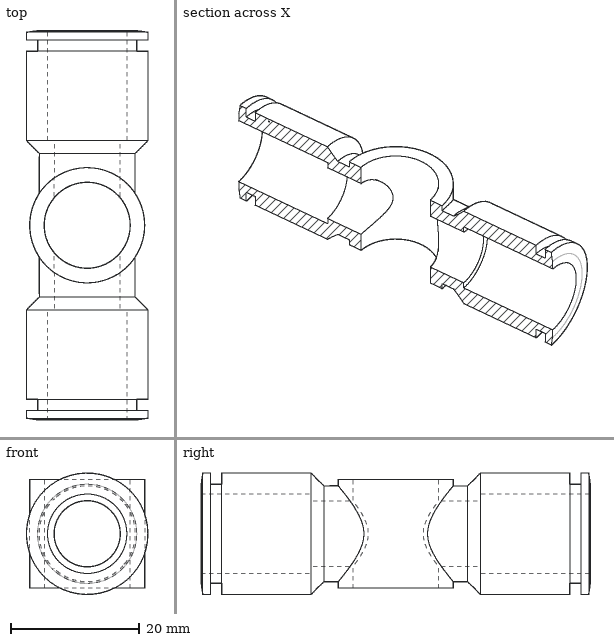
import cadquery as cq

overall_length = 60.8
half_length = overall_length / 2
body_radius = 9.5
neck_radius = 7.5

end_face_radius = 7.75
end_cone_length = 0.25
collar_length = 1.5
groove_radius = 7.75
groove_width = 1.7
body_length = 14.0
shoulder_length = body_radius - neck_radius

socket_radius = 6.2
passage_radius = 5.15

ring_radius = 9.0
ring_bore_radius = 6.7
ring_height = 17.0

cone_y = half_length - end_cone_length
collar_y = half_length - collar_length
body_outer_y = collar_y - groove_width
body_inner_y = body_outer_y - body_length
shoulder_y = body_inner_y - shoulder_length
socket_depth = half_length - body_inner_y


def solid_arm():
    """Turned arm on the +Y side, reaching from the centre to the end face."""
    return (
        cq.Workplane("XY")
        .polyline([
            (0, 0),
            (neck_radius, 0),
            (neck_radius, shoulder_y),
            (body_radius, body_inner_y),
            (body_radius, body_outer_y),
            (groove_radius, body_outer_y),
            (groove_radius, collar_y),
            (body_radius, collar_y),
            (body_radius, cone_y),
            (end_face_radius, half_length),
            (0, half_length),
        ])
        .close()
        .revolve(360, (0, 0, 0), (0, 1, 0))
    )


def tube_socket():
    """Cutter for the tube socket, from the +Y end face to its stop ledge."""
    return (
        cq.Workplane("XZ", origin=(0, half_length, 0))
        .circle(socket_radius)
        .extrude(socket_depth)
    )


def centred_cylinder(plane, radius, length):
    """Cylinder centred on the origin, along the normal of the plane."""
    return cq.Workplane(plane).circle(radius).extrude(length / 2, both=True)


arm = solid_arm()
result = (
    arm
    .union(arm.mirror("XZ"))
    .union(centred_cylinder("XY", ring_radius, ring_height))
)

socket = tube_socket()
result = (
    result
    .cut(centred_cylinder("XY", ring_bore_radius, ring_height))
    .cut(centred_cylinder("XZ", passage_radius, overall_length))
    .cut(socket)
    .cut(socket.mirror("XZ"))
)